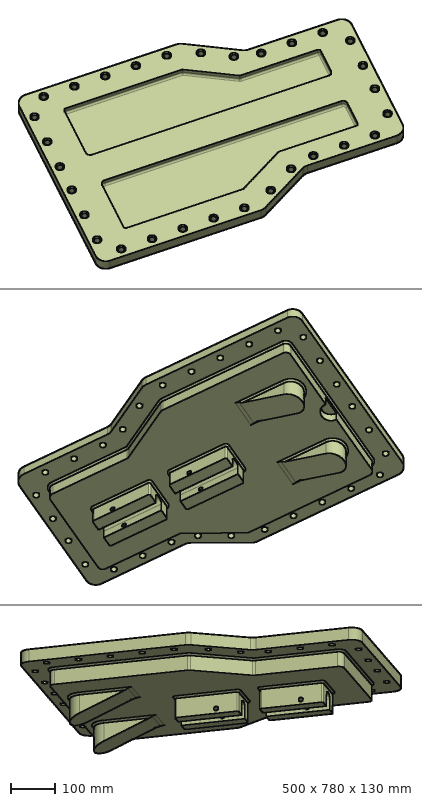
import cadquery as cq
import math

LENGTH = 780.0
WIDE_HALF = 250.0
NARROW_HALF = 175.0
SHOULDER_Y = 140.5
FLANK_ANGLE = math.radians(60)
FLANGE_THICK = 30.0
FLANGE_RADIUS = 25.0

BODY_INSET = 55.0
BODY_BOTTOM = -69.5
BODY_RADIUS = 12.5
ROOT_BEVEL = 5.0
LEVEL_TOLERANCE = 0.1

POCKET_DEPTH = 15.0
POCKET_FLOOR_FILLET = 5.0
POCKET_OUTER_RADIUS = 5.5
POCKET_INNER_RADIUS = 10.0
POCKET_INNER_X = 38.0
POCKET_NARROW_X = 115.0
POCKET_WIDE_X = 180.0
POCKET_TOP_Y = 297.0
POCKET_BOTTOM_Y = -301.0
POCKET_SHOULDER_Y = 102.0

HOLE_DIA = 14.0
COUNTERSINK_DIA = 20.0
COUNTERSINK_ANGLE = 90
HOLE_INSET = 20.0
END_HOLE_X = 35.0
NARROW_END_HOLE_COUNT = 2
WIDE_END_HOLE_COUNT = 3
NARROW_HOLE_Y = 320.5
NARROW_HOLE_COUNT = 3
FLANK_HOLE_X = 169.0
FLANK_HOLE_Y = 110.0
FLANK_HOLE_COUNT = 2
WIDE_HOLE_Y = -29.0
WIDE_LAST_HOLE_Y = -329.0
WIDE_HOLE_COUNT = 5
HOLE_PITCH = (WIDE_HOLE_Y - WIDE_LAST_HOLE_Y) / (WIDE_HOLE_COUNT - 1)

LUG_BOTTOM = -120.0
LUG_WIDTH = 79.5
LUG_LENGTH = 150.0
LUG_CENTERS_Y = (189.5, -10.0)
LUG_EDGE_FILLET = 4.0
SLOT_WIDTH = 24.0
SLOT_TOP = -82.0
PIN_DIA = 10.0
PIN_Z = -108.5
PIN_OFFSET_Y = 23.0

FOOT_X = 94.0
FOOT_Y = -284.0
FOOT_RADIUS = 30.5
FOOT_TIP_Z = -130.0
FOOT_START_Y = -164.5

NOTCH_RADIUS = 24.0
NOTCH_TOP = -45.0

half_length = LENGTH / 2
body_half_length = half_length - BODY_INSET


def stepped_points(narrow_x, wide_x, top_y, bottom_y, shoulder_y):
    """Right-hand edge of a stepped outline, from its +Y end to its -Y end."""
    knee_y = shoulder_y - (wide_x - narrow_x) * math.tan(FLANK_ANGLE)
    return [(narrow_x, top_y), (narrow_x, shoulder_y), (wide_x, knee_y), (wide_x, bottom_y)]


def mirrored(points):
    return [(-x, y) for x, y in points]


def plate_sketch():
    right = stepped_points(NARROW_HALF, WIDE_HALF, half_length, -half_length, SHOULDER_Y)
    return cq.Workplane("XY").polyline(right + mirrored(right)[::-1]).close()


def make_flange():
    return plate_sketch().extrude(-FLANGE_THICK).edges("|Z").fillet(FLANGE_RADIUS)


def make_body():
    body = plate_sketch().offset2D(-BODY_INSET, "intersection").extrude(BODY_BOTTOM)
    return body.edges("|Z").fillet(BODY_RADIUS)


def make_notch():
    notch = cq.Workplane("XY", origin=(0, -body_half_length, NOTCH_TOP)).circle(NOTCH_RADIUS)
    return notch.extrude(BODY_BOTTOM - NOTCH_TOP)


def make_pocket():
    outer_edge = stepped_points(
        POCKET_NARROW_X, POCKET_WIDE_X, POCKET_TOP_Y, POCKET_BOTTOM_Y, POCKET_SHOULDER_Y
    )
    inner_edge = [(POCKET_INNER_X, POCKET_BOTTOM_Y), (POCKET_INNER_X, POCKET_TOP_Y)]
    pocket = cq.Workplane("XY").polyline(outer_edge + inner_edge).close().extrude(-POCKET_DEPTH)
    pocket = pocket.edges("|Z").edges("not <X").fillet(POCKET_OUTER_RADIUS)
    pocket = pocket.edges("|Z").edges("<X").fillet(POCKET_INNER_RADIUS)
    return pocket.faces("<Z").edges().fillet(POCKET_FLOOR_FILLET)


def make_lug(center_y):
    height = BODY_BOTTOM - LUG_BOTTOM
    lug = cq.Workplane("XY", origin=(0, center_y, BODY_BOTTOM)).rect(LUG_WIDTH, LUG_LENGTH)
    return lug.extrude(-height).edges("|Z").fillet(LUG_EDGE_FILLET)


def make_lug_slot():
    """Round-topped slot running along Y through both lugs."""
    arch_z = SLOT_TOP - SLOT_WIDTH / 2
    slot = (
        cq.Workplane("XZ", origin=(0, half_length, 0))
        .moveTo(-SLOT_WIDTH / 2, LUG_BOTTOM)
        .lineTo(-SLOT_WIDTH / 2, arch_z)
        .threePointArc((0, SLOT_TOP), (SLOT_WIDTH / 2, arch_z))
        .lineTo(SLOT_WIDTH / 2, LUG_BOTTOM)
        .close()
    )
    return slot.extrude(LENGTH)


def make_pin_hole(center_y):
    pin = cq.Workplane("YZ", origin=(-LUG_WIDTH / 2, center_y + PIN_OFFSET_Y, PIN_Z))
    return pin.circle(PIN_DIA / 2).extrude(LUG_WIDTH)


def make_foot(x):
    """Round-ended foot whose height falls to nothing towards +Y."""
    tip_y = FOOT_Y - FOOT_RADIUS
    wedge = (
        cq.Workplane("YZ", origin=(x - FOOT_RADIUS, 0, 0))
        .polyline([(tip_y, BODY_BOTTOM), (tip_y, FOOT_TIP_Z), (FOOT_START_Y, BODY_BOTTOM)])
        .close()
        .extrude(2 * FOOT_RADIUS)
    )
    height = BODY_BOTTOM - FOOT_TIP_Z
    straight = FOOT_START_Y - FOOT_Y
    column = (
        cq.Workplane("XY", origin=(x, FOOT_Y, BODY_BOTTOM))
        .moveTo(FOOT_RADIUS, straight)
        .lineTo(FOOT_RADIUS, 0)
        .threePointArc((0, -FOOT_RADIUS), (-FOOT_RADIUS, 0))
        .lineTo(-FOOT_RADIUS, straight)
        .close()
        .extrude(-height)
    )
    return wedge.intersect(column)


def hole_row(start, step, count):
    """Evenly spaced points from a start point along a step vector."""
    return [(start[0] + i * step[0], start[1] + i * step[1]) for i in range(count)]


def hole_positions():
    end_y = half_length - HOLE_INSET
    narrow_x = NARROW_HALF - HOLE_INSET
    wide_x = WIDE_HALF - HOLE_INSET
    outward = (HOLE_PITCH, 0)
    down = (0, -HOLE_PITCH)
    along_flank = (HOLE_PITCH * math.cos(FLANK_ANGLE), -HOLE_PITCH * math.sin(FLANK_ANGLE))
    right = (
        hole_row((END_HOLE_X, end_y), outward, NARROW_END_HOLE_COUNT)
        + hole_row((narrow_x, NARROW_HOLE_Y), down, NARROW_HOLE_COUNT)
        + hole_row((FLANK_HOLE_X, FLANK_HOLE_Y), along_flank, FLANK_HOLE_COUNT)
        + hole_row((wide_x, WIDE_HOLE_Y), down, WIDE_HOLE_COUNT)
        + hole_row((END_HOLE_X, -end_y), outward, WIDE_END_HOLE_COUNT)
    )
    return right + mirrored(right)


def bevel_roots(solid, level):
    """Bevel the roots of everything that stands on the downward face at the given level."""
    faces = solid.faces("|Z").vals()
    underside = max(
        (face for face in faces if abs(face.Center().z - level) < LEVEL_TOLERANCE),
        key=lambda face: face.Area(),
    )
    root_edges = [edge for wire in underside.innerWires() for edge in wire.Edges()]
    return solid.newObject(root_edges).chamfer(ROOT_BEVEL)


housing = make_flange().union(make_body())
housing = bevel_roots(housing, -FLANGE_THICK)
housing = housing.cut(make_notch())

for lug_y in LUG_CENTERS_Y:
    housing = housing.union(make_lug(lug_y))
for foot_x in (-FOOT_X, FOOT_X):
    housing = housing.union(make_foot(foot_x))
housing = bevel_roots(housing, BODY_BOTTOM)
housing = housing.cut(make_lug_slot())
for lug_y in LUG_CENTERS_Y:
    housing = housing.cut(make_pin_hole(lug_y))

pocket = make_pocket()
housing = housing.cut(pocket).cut(pocket.mirror("YZ"))
result = (
    housing.faces(">Z")
    .workplane(origin=(0, 0, 0))
    .pushPoints(hole_positions())
    .cskHole(HOLE_DIA, COUNTERSINK_DIA, COUNTERSINK_ANGLE)
)